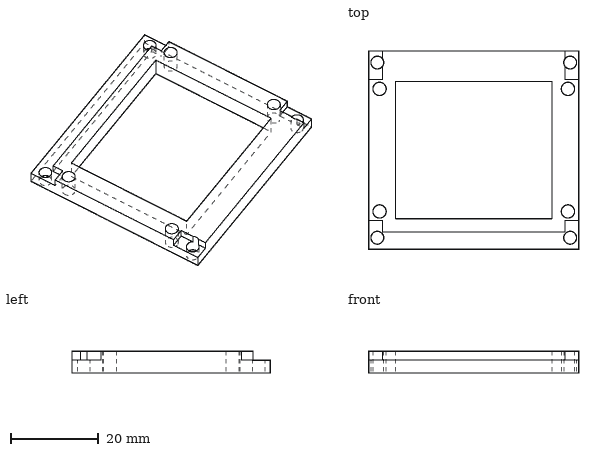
import cadquery as cq

WIDTH = 48.0
DEPTH = 45.3
HEIGHT = 5.0
STEP_HEIGHT = 2.0

WINDOW_WIDTH = 35.6
WINDOW_DEPTH = 31.3
WINDOW_FRONT_MARGIN = 7.0

FRONT_LEDGE_DEPTH = 4.0
NOTCH_WIDTH = 3.2
NOTCH_DEPTH = 6.6

CORNER_HOLE_DIAMETER = 2.9
CORNER_HOLE_SPACING_X = 44.0
CORNER_HOLE_SPACING_Y = 40.0
INNER_HOLE_DIAMETER = 3.0
INNER_HOLE_SPACING_X = 43.0
INNER_HOLE_SPACING_Y = 28.0

base_height = HEIGHT - STEP_HEIGHT
window_center_y = -DEPTH / 2 + WINDOW_FRONT_MARGIN + WINDOW_DEPTH / 2


def top_recess(width, depth, x, y):
    """Box that lowers the top face to the base height, centred at (x, y)."""
    box = cq.Workplane("XY").box(width, depth, STEP_HEIGHT, centered=(True, True, False))
    return box.translate((x, y, base_height))


def hole_pattern(diameter, spacing_x, spacing_y):
    """Four full-height cylinders at the corners of a rectangle."""
    return (
        cq.Workplane("XY")
        .rect(spacing_x, spacing_y, forConstruction=True)
        .vertices()
        .circle(diameter / 2)
        .extrude(HEIGHT)
    )


frame = cq.Workplane("XY").box(WIDTH, DEPTH, HEIGHT, centered=(True, True, False))

window = cq.Workplane("XY").center(0, window_center_y).rect(WINDOW_WIDTH, WINDOW_DEPTH).extrude(HEIGHT)
frame = frame.cut(window)

frame = frame.cut(top_recess(WIDTH, FRONT_LEDGE_DEPTH, 0, (FRONT_LEDGE_DEPTH - DEPTH) / 2))

for side_x in (-1, 1):
    for side_y in (-1, 1):
        notch_x = side_x * (WIDTH - NOTCH_WIDTH) / 2
        notch_y = side_y * (DEPTH - NOTCH_DEPTH) / 2
        frame = frame.cut(top_recess(NOTCH_WIDTH, NOTCH_DEPTH, notch_x, notch_y))

frame = frame.cut(hole_pattern(CORNER_HOLE_DIAMETER, CORNER_HOLE_SPACING_X, CORNER_HOLE_SPACING_Y))
frame = frame.cut(hole_pattern(INNER_HOLE_DIAMETER, INNER_HOLE_SPACING_X, INNER_HOLE_SPACING_Y))

result = cq.Workplane("XY").newObject([frame.solids().val()])